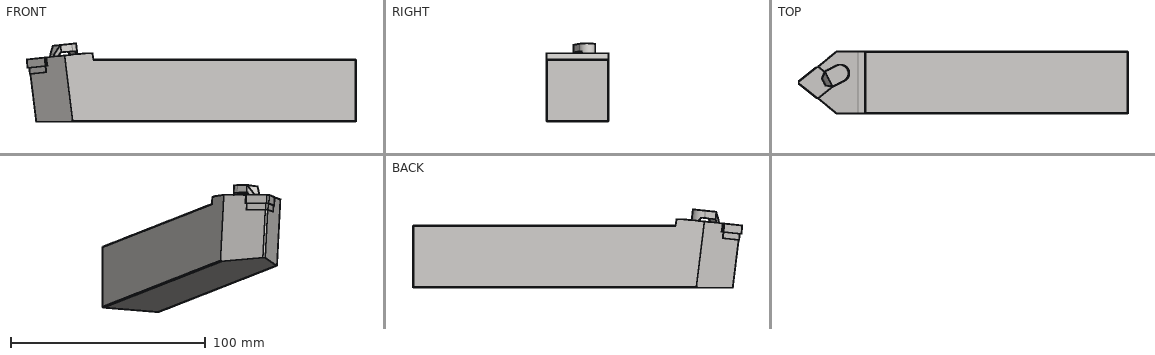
import cadquery as cq
import math

total_length = 169.5
shank_size = 32.0
half_width = shank_size / 2
edge_chamfer = 0.5

head_top = 35.3
head_end = 33.9
head_step_end = 34.5
slope_start = 30.4
rake_angle = 6.0
wall_angle = 7.0
nose_half_width = 0.7
head_nose_x = 5.0
head_shoulder_x = 23.7

insert_length = 19.5
insert_half_width = 8.0
insert_thickness = 4.4
shim_inset = 0.8
shim_length = 17.8
shim_half_width = 7.55
shim_thickness = 3.2
corner_half_flat = 0.5

clamp_x = 21.9
clamp_y = 4.7
clamp_angle = 27.0
clamp_radius = 4.4
clamp_height = 5.6
clamp_gap = 1.7
clamp_nose = 10.0
clamp_nose_half_width = 2.0
clamp_slope_start = 6.5
nose_rim_start = 9.3
nose_rim_height = 1.5
nose_foot_start = 7.8
tail_foot_end = -2.7
foot_bevel = 1.2

slope_drop = slope_start * math.tan(math.radians(rake_angle))
tip_height = head_top - slope_drop


def tilt(body):
    """Move a body from the flat tip frame onto the sloping head top."""
    return body.rotate((0, 0, 0), (0, 1, 0), -rake_angle).translate((0, 0, tip_height))


def make_plate(inset, length, plate_half_width, top, thickness):
    """Plate with flat-ended corners, extruded down from the height `top`."""
    middle = inset + length / 2
    end = inset + length
    outline = [
        (inset, -nose_half_width),
        (middle - corner_half_flat, -plate_half_width),
        (middle + corner_half_flat, -plate_half_width),
        (end, -nose_half_width),
        (end, nose_half_width),
        (middle + corner_half_flat, plate_half_width),
        (middle - corner_half_flat, plate_half_width),
        (inset, nose_half_width),
    ]
    plate = cq.Workplane("XY").workplane(offset=top).polyline(outline).close()
    return tilt(plate.extrude(-thickness))


def make_insert():
    return make_plate(0, insert_length, insert_half_width, 0, insert_thickness)


def make_shim():
    return make_plate(shim_inset, shim_length, shim_half_width, -insert_thickness, shim_thickness)


def make_shank():
    length = total_length - head_end
    bar = cq.Workplane("XY").box(length, shank_size, shank_size, centered=(False, True, False))
    bar = bar.edges("|X or >X").chamfer(edge_chamfer)
    return bar.translate((head_end, 0, 0))


def make_head():
    """Side outline of the head, cut to a wedge with backward-leaning walls."""
    side = [
        (0, 0),
        (head_step_end, 0),
        (head_step_end, shank_size),
        (head_end, head_top),
        (slope_start, head_top),
        (0, tip_height),
    ]
    block = cq.Workplane("XZ").polyline(side).close().extrude(half_width, both=True)
    block = block.edges("|X and <Z").chamfer(edge_chamfer)
    wedge = [
        (head_nose_x, -nose_half_width),
        (head_shoulder_x, -half_width),
        (total_length, -half_width),
        (total_length, half_width),
        (head_shoulder_x, half_width),
        (head_nose_x, nose_half_width),
    ]
    lean = math.tan(math.radians(wall_angle)) * head_top
    path = cq.Workplane("XZ").lineTo(-lean, head_top)
    prism = cq.Workplane("XY").polyline(wedge).close().sweep(path)
    return block.intersect(prism)


def make_clamp():
    """Finger outline from above, shaped by its side outline."""
    plan = (
        cq.Workplane("XY")
        .moveTo(0, -clamp_radius)
        .lineTo(clamp_slope_start, -clamp_radius)
        .lineTo(clamp_nose, -clamp_nose_half_width)
        .lineTo(clamp_nose, clamp_nose_half_width)
        .lineTo(clamp_slope_start, clamp_radius)
        .lineTo(0, clamp_radius)
        .threePointArc((-clamp_radius, 0), (0, -clamp_radius))
        .close()
        .extrude(clamp_height)
    )
    side = [
        (-clamp_radius, 0),
        (tail_foot_end, 0),
        (tail_foot_end + foot_bevel, clamp_gap),
        (nose_foot_start - foot_bevel, clamp_gap),
        (nose_foot_start, 0),
        (clamp_nose, 0),
        (nose_rim_start, nose_rim_height),
        (clamp_slope_start, clamp_height),
        (-clamp_radius, clamp_height),
    ]
    profile = cq.Workplane("XZ").polyline(side).close().extrude(clamp_radius, both=True)
    clamp = plan.intersect(profile).rotate((0, 0, 0), (0, 0, 1), 180 + clamp_angle)
    return tilt(clamp.translate((clamp_x, clamp_y, 0)))


def make_holder(insert):
    """Shank, head, shim and clamp in one piece, with a seat for the insert."""
    holder = make_shank().union(make_head()).union(make_shim())
    return holder.union(make_clamp()).cut(insert)


insert = make_insert()
holder = make_holder(insert)

result = cq.Compound.makeCompound([holder.val(), insert.val()])